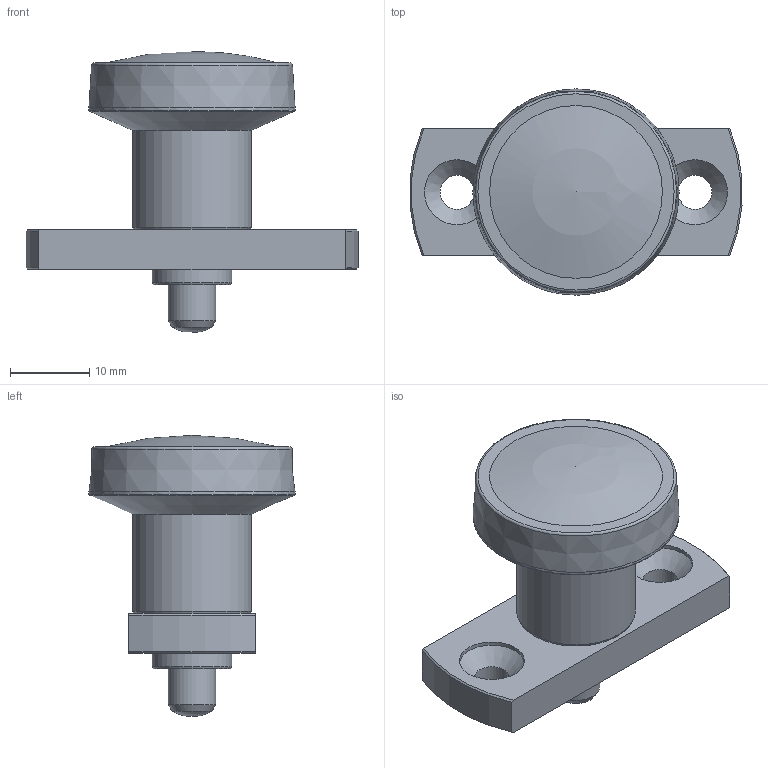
import cadquery as cq
import math

plate_thickness = 5.0
plate_width = 16.0
plate_end_radius = 21.0
plate_end_chamfer = 0.2

screw_spacing = 30.0
screw_hole_diameter = 4.3
countersink_diameter = 8.2
countersink_rim_depth = 0.5
countersink_angle = 90.0

sleeve_diameter = 15.0
sleeve_chamfer_height = 0.25
sleeve_chamfer_width = 0.1

knob_top_z = 21.0
dome_apex_z = 22.45
knob_diameter = 26.0
knob_rim_bottom_z = 14.95
knob_rim_top_z = 15.35
knob_draft_angle = 3.5
knob_underside_angle = 24.0
knob_lower_fillet = 0.1
knob_upper_fillet = 0.3
dome_diameter = 21.8

collar_diameter = 10.0
collar_bottom_z = -7.0
collar_tip_diameter = 9.7
collar_chamfer_height = 0.3

pin_diameter = 6.0
pin_tip_z = -13.0
pin_taper_start_z = -11.5
pin_dome_start_z = -12.35
pin_dome_diameter = 5.0


def revolve_about_z(profile):
    """Turn a closed radius-height profile around the Z axis."""
    return profile.close().revolve(360, (0, 0), (0, 1))


def make_spherical_cap(base_diameter, base_z, apex_z):
    """Cap between a flat circle at base_z and an apex on the Z axis, above or below it."""
    base_radius = base_diameter / 2
    rise = apex_z - base_z
    sphere_radius = (base_radius**2 + rise**2) / (2 * abs(rise))
    half_angle = math.asin(base_radius / sphere_radius) / 2
    drop = sphere_radius * (1 - math.cos(half_angle))
    arc_middle = (sphere_radius * math.sin(half_angle), apex_z - math.copysign(drop, rise))
    return revolve_about_z(
        cq.Workplane("XZ")
        .moveTo(0, base_z)
        .lineTo(base_radius, base_z)
        .threePointArc(arc_middle, (0, apex_z))
    )


def make_plate():
    """Flat bar whose two chamfered ends follow one circle about the Z axis."""
    half_width = plate_width / 2
    corner_x = math.sqrt(plate_end_radius**2 - half_width**2)
    return (
        cq.Workplane("XY", origin=(0, 0, -plate_thickness))
        .moveTo(-corner_x, -half_width)
        .lineTo(corner_x, -half_width)
        .threePointArc((plate_end_radius, 0), (corner_x, half_width))
        .lineTo(-corner_x, half_width)
        .threePointArc((-plate_end_radius, 0), (-corner_x, -half_width))
        .close()
        .extrude(plate_thickness)
        .edges("%CIRCLE")
        .chamfer(plate_end_chamfer)
    )


def make_screw_hole(x):
    """Cutter for one through hole with a conical seat below a short cylindrical rim."""
    hole_radius = screw_hole_diameter / 2
    seat_radius = countersink_diameter / 2
    seat_depth = (seat_radius - hole_radius) / math.tan(math.radians(countersink_angle / 2))
    profile = [
        (0, 0),
        (seat_radius, 0),
        (seat_radius, -countersink_rim_depth),
        (hole_radius, -countersink_rim_depth - seat_depth),
        (hole_radius, -plate_thickness),
        (0, -plate_thickness),
    ]
    cutter = revolve_about_z(cq.Workplane("XZ").polyline(profile))
    return cutter.translate((x, 0, 0))


def make_sleeve():
    """Cylinder from the flange into the knob, narrowed by a chamfer at the flange."""
    radius = sleeve_diameter / 2
    profile = [
        (0, 0),
        (radius - sleeve_chamfer_width, 0),
        (radius, sleeve_chamfer_height),
        (radius, knob_rim_top_z),
        (0, knob_rim_top_z),
    ]
    return revolve_about_z(cq.Workplane("XZ").polyline(profile))


def make_knob():
    """Round knob with a conical underside, narrow rim, drafted side and domed top."""
    sleeve_radius = sleeve_diameter / 2
    rim_radius = knob_diameter / 2
    underside_rise = (rim_radius - sleeve_radius) * math.tan(math.radians(knob_underside_angle))
    underside_z = knob_rim_bottom_z - underside_rise
    draft_inset = (knob_top_z - knob_rim_top_z) * math.tan(math.radians(knob_draft_angle))
    profile = [
        (0, underside_z),
        (sleeve_radius, underside_z),
        (rim_radius, knob_rim_bottom_z),
        (rim_radius, knob_rim_top_z),
        (rim_radius - draft_inset, knob_top_z),
        (0, knob_top_z),
    ]
    body = revolve_about_z(cq.Workplane("XZ").polyline(profile))
    body = body.faces(">Z").edges().fillet(knob_upper_fillet)
    rim_lower_edge = cq.selectors.NearestToPointSelector((0, 0, knob_rim_bottom_z))
    body = body.edges("%CIRCLE").edges(rim_lower_edge).fillet(knob_lower_fillet)
    return body.union(make_spherical_cap(dome_diameter, knob_top_z, dome_apex_z))


def make_collar():
    """Short guide collar under the flange with a chamfered lower rim."""
    radius = collar_diameter / 2
    profile = [
        (0, -plate_thickness),
        (radius, -plate_thickness),
        (radius, collar_bottom_z + collar_chamfer_height),
        (collar_tip_diameter / 2, collar_bottom_z),
        (0, collar_bottom_z),
    ]
    return revolve_about_z(cq.Workplane("XZ").polyline(profile))


def make_pin():
    """Locking pin with a tapered, domed tip."""
    pin_radius = pin_diameter / 2
    profile = [
        (0, collar_bottom_z),
        (pin_radius, collar_bottom_z),
        (pin_radius, pin_taper_start_z),
        (pin_dome_diameter / 2, pin_dome_start_z),
        (0, pin_dome_start_z),
    ]
    pin = revolve_about_z(cq.Workplane("XZ").polyline(profile))
    return pin.union(make_spherical_cap(pin_dome_diameter, pin_dome_start_z, pin_tip_z))


flange = make_plate()
for side in (-1, 1):
    flange = flange.cut(make_screw_hole(side * screw_spacing / 2))

result = flange.union(make_sleeve()).union(make_knob()).union(make_collar()).union(make_pin())